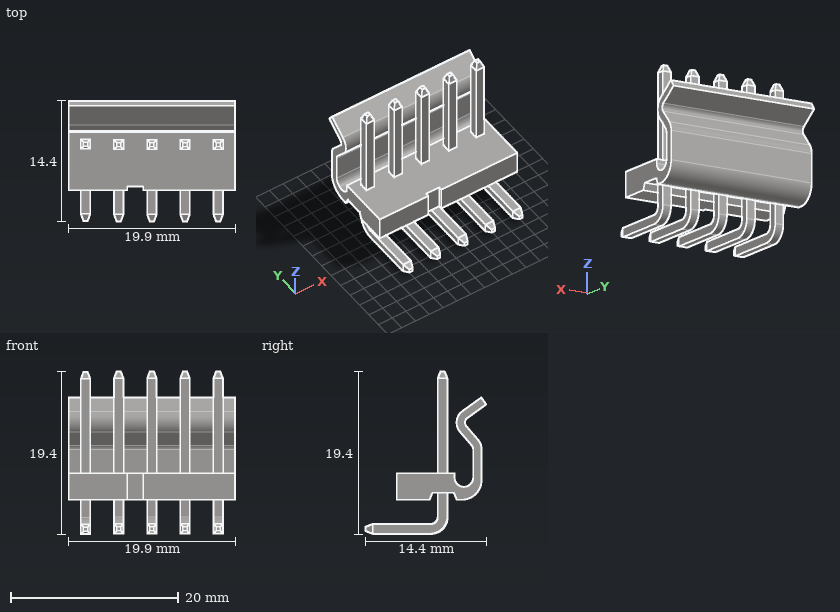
import cadquery as cq
import math


PIN_COUNT = 5
PIN_PITCH = 3.96
PIN_SIDE = 1.15
PIN_BACK = 6.05
PIN_TOP = 15.37
PIN_BOTTOM = -4.02
PIN_FRONT = -3.72
PIN_BEND_INNER = 0.85
TIP_LENGTH = 0.85
TIP_SIDE = 0.5
FIRST_PIN_DROP = 0.05
FIRST_PIN_SETBACK = 0.05

HOUSING_LENGTH = 19.91
BASE_HEIGHT = 3.2
BASE_BACK = 6.95

GROOVE_DEPTH = 0.85
GROOVE_FRONT = 3.95
GROOVE_BACK = 7.19
GROOVE_SIDE_RUN = 0.35

NOTCH_WIDTH = 1.87
NOTCH_DEPTH = 0.45
NOTCH_X = -PIN_PITCH / 2

STRIP = 1.04
LATCH_BACK = 10.17
FOOT_RADIUS = 2.39
VALLEY_RADIUS = (LATCH_BACK - STRIP - BASE_BACK) / 2
VALLEY_CENTRE_Z = 2.67
LEAN_ANGLE = 40.6
FLARE_ANGLE = 35.8
LOWER_BEND_INNER = 0.74
LOWER_BEND_Z = 6.03
UPPER_BEND_INNER = 0.65
LEAN_LENGTH = 2.15
FLARE_LENGTH = 2.79


def polar(centre, radius, angle):
    """Point in the YZ plane at an angle in degrees, measured from +Y towards +Z."""
    turn = math.radians(angle)
    return (centre[0] + radius * math.cos(turn), centre[1] + radius * math.sin(turn))


def side_sketch(x):
    """Workplane at the given X whose local axes are Y and Z and whose normal is +X."""
    return cq.Workplane("YZ", origin=(x, 0, 0))


def make_housing():
    """Base and latch drawn as one side outline, with the keying notch cut in the front."""
    lean_side = LEAN_ANGLE
    lean_far_side = LEAN_ANGLE + 180
    flare_side = FLARE_ANGLE + 90
    lower_mid = lean_side / 2
    upper_mid = (lean_far_side + flare_side) / 2

    lower_outer = LOWER_BEND_INNER + STRIP
    upper_outer = UPPER_BEND_INNER + STRIP
    lower_bend = (LATCH_BACK - lower_outer, LOWER_BEND_Z)
    strip_front = polar(lower_bend, LOWER_BEND_INNER, lean_side)
    upper_tangent = polar(strip_front, LEAN_LENGTH, LEAN_ANGLE + 90)
    upper_bend = polar(upper_tangent, upper_outer, lean_side)
    flare_top = polar(upper_bend, upper_outer, flare_side)
    flare_bottom = polar(upper_bend, UPPER_BEND_INNER, flare_side)

    valley = (BASE_BACK + VALLEY_RADIUS, VALLEY_CENTRE_Z)
    foot = (LATCH_BACK - FOOT_RADIUS, FOOT_RADIUS)

    outline = (
        side_sketch(-HOUSING_LENGTH / 2)
        .moveTo(0, 0)
        .lineTo(0, BASE_HEIGHT)
        .lineTo(BASE_BACK, BASE_HEIGHT)
        .lineTo(BASE_BACK, VALLEY_CENTRE_Z)
        .threePointArc(polar(valley, VALLEY_RADIUS, 270), polar(valley, VALLEY_RADIUS, 0))
        .lineTo(*polar(lower_bend, LOWER_BEND_INNER, 0))
        .threePointArc(polar(lower_bend, LOWER_BEND_INNER, lower_mid), strip_front)
        .lineTo(*upper_tangent)
        .threePointArc(polar(upper_bend, upper_outer, upper_mid), flare_top)
        .lineTo(*polar(flare_top, FLARE_LENGTH, FLARE_ANGLE))
        .lineTo(*polar(flare_bottom, FLARE_LENGTH, FLARE_ANGLE))
        .lineTo(*flare_bottom)
        .threePointArc(
            polar(upper_bend, UPPER_BEND_INNER, upper_mid),
            polar(upper_bend, UPPER_BEND_INNER, lean_far_side),
        )
        .lineTo(*polar(lower_bend, lower_outer, lean_side))
        .threePointArc(polar(lower_bend, lower_outer, lower_mid), polar(lower_bend, lower_outer, 0))
        .lineTo(*polar(foot, FOOT_RADIUS, 0))
        .threePointArc(polar(foot, FOOT_RADIUS, 315), polar(foot, FOOT_RADIUS, 270))
        .lineTo(GROOVE_BACK, 0)
        .lineTo(GROOVE_BACK - GROOVE_SIDE_RUN, GROOVE_DEPTH)
        .lineTo(GROOVE_FRONT + GROOVE_SIDE_RUN, GROOVE_DEPTH)
        .lineTo(GROOVE_FRONT, 0)
        .close()
    )
    notch = (
        cq.Workplane("XY")
        .center(NOTCH_X, 0)
        .rect(NOTCH_WIDTH, 2 * NOTCH_DEPTH)
        .extrude(BASE_HEIGHT)
    )
    return outline.extrude(HOUSING_LENGTH).cut(notch)


def make_tip(plane):
    """Tapered pin end that starts on the given plane and narrows along its normal."""
    return (
        cq.Workplane(plane)
        .rect(PIN_SIDE, PIN_SIDE)
        .workplane(offset=TIP_LENGTH)
        .rect(TIP_SIDE, TIP_SIDE)
        .loft(ruled=True)
    )


def make_pin(x, shift_y=0, shift_z=0):
    """Square pin with an upright leg, a rounded right-angle bend and a forward leg."""
    pin_front = PIN_BACK - PIN_SIDE
    leg_top = PIN_BOTTOM + PIN_SIDE
    bend = (pin_front - PIN_BEND_INNER, leg_top + PIN_BEND_INNER)
    bend_outer = PIN_BEND_INNER + PIN_SIDE
    upright_end = PIN_TOP - TIP_LENGTH
    forward_end = PIN_FRONT + TIP_LENGTH

    shank = (
        side_sketch(-PIN_SIDE / 2)
        .moveTo(pin_front, upright_end)
        .lineTo(PIN_BACK, upright_end)
        .lineTo(*polar(bend, bend_outer, 0))
        .threePointArc(polar(bend, bend_outer, -45), polar(bend, bend_outer, -90))
        .lineTo(forward_end, PIN_BOTTOM)
        .lineTo(forward_end, leg_top)
        .lineTo(*polar(bend, PIN_BEND_INNER, -90))
        .threePointArc(polar(bend, PIN_BEND_INNER, -45), polar(bend, PIN_BEND_INNER, 0))
        .close()
        .extrude(PIN_SIDE)
    )
    upright_centre = (0, pin_front + PIN_SIDE / 2, upright_end)
    forward_centre = (0, forward_end, PIN_BOTTOM + PIN_SIDE / 2)
    top_tip = make_tip(cq.Plane(upright_centre, xDir=(1, 0, 0), normal=(0, 0, 1)))
    front_tip = make_tip(cq.Plane(forward_centre, xDir=(1, 0, 0), normal=(0, -1, 0)))
    return shank.union(top_tip).union(front_tip).translate((x, shift_y, shift_z))


first_pin_x = -(PIN_COUNT - 1) / 2 * PIN_PITCH
pins = [make_pin(first_pin_x, FIRST_PIN_SETBACK, -FIRST_PIN_DROP)]
for index in range(1, PIN_COUNT):
    pins.append(make_pin(first_pin_x + index * PIN_PITCH))

housing = make_housing()
for pin in pins:
    housing = housing.cut(pin)

result = cq.Compound.makeCompound([housing.val(), *[pin.val() for pin in pins]])